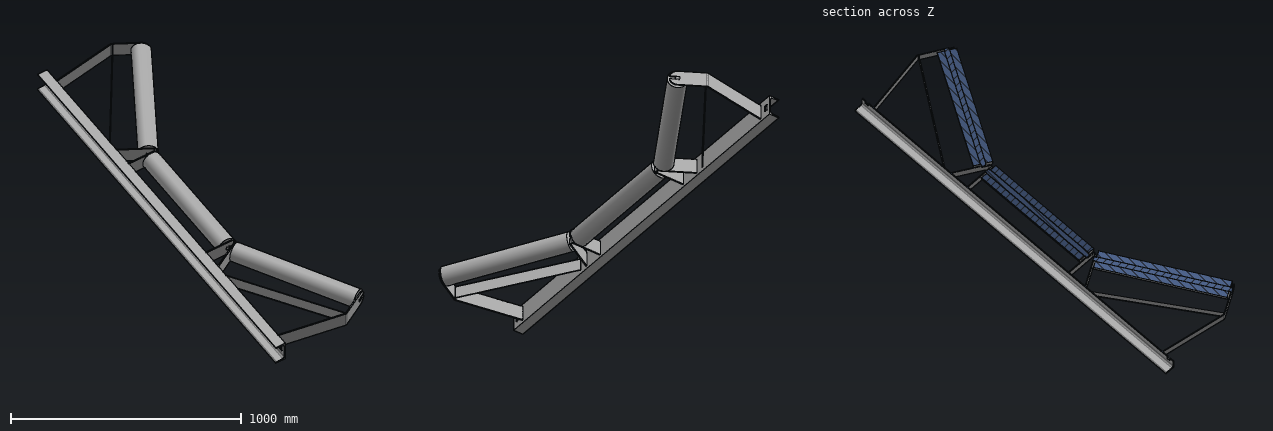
import cadquery as cq
import math


beam_length = 1900
beam_height = 100.0
beam_depth = 50.0
web_thickness = 6.0
flange_thickness = 8.5
flange_taper = 0.08
root_radius = 8.5
toe_radius = 4.5
slot_width = 17.0
slot_height = 28.0
slot_end_distance = 28.0

roller_length = 600.0
roller_diameter = 90.0
trough_angle = 30
middle_roller_y = 167.0
side_roller_x = 605.0
side_roller_y = 329.0
shaft_diameter = 20.0
shaft_flat_width = 15.0
bracket_gap = 5.0

plate_thickness = 6.0
plate_width = 72.0
strut_thickness = 4.0
strut_width = 60.0
inner_bracket_top_y = 200.0
arm_elbow_y = 370.0
arm_bend_radius = 10.0
arm_foot_x = 882.0
strut_foot_x = 446.0
strut_top_y = 376.0

foot_y = beam_depth - web_thickness / 2

shaft_length = roller_length + 2 * (bracket_gap + plate_thickness)
plate_offset = (shaft_length - plate_thickness) / 2

axis_x = math.cos(math.radians(trough_angle))
axis_y = math.sin(math.radians(trough_angle))


def side_point(along, up):
    """Point at a distance along the right-hand roller axis and square to it, from the roller's middle."""
    return (
        side_roller_x + along * axis_x - up * axis_y,
        side_roller_y + along * axis_y + up * axis_x,
    )


def up_to_height(along, y):
    """Distance square to the right-hand roller axis at which the plate plane reaches a height y."""
    return (y - side_point(along, 0)[1]) / axis_x


def strip(points, thickness, width):
    """Flat strip bent along a line of points, with mitred bends, centred on Z = 0."""
    normals = []
    for (x0, y0), (x1, y1) in zip(points, points[1:]):
        length = math.hypot(x1 - x0, y1 - y0)
        normals.append(((y0 - y1) / length, (x1 - x0) / length))
    one_side = []
    other_side = []
    for (x, y), (ax, ay), (bx, by) in zip(points, normals[:1] + normals, normals + normals[-1:]):
        reach = thickness / 2 / (1 + ax * bx + ay * by)
        one_side.append((x + reach * (ax + bx), y + reach * (ay + by)))
        other_side.append((x - reach * (ax + bx), y - reach * (ay + by)))
    outline = one_side + other_side[::-1]
    return cq.Workplane("XY", origin=(0, 0, -width / 2)).polyline(outline).close().extrude(width)


def on_middle(body):
    """Moves a body built along X at the origin to the middle roller's place."""
    return body.translate((0, middle_roller_y, 0))


def on_right(body):
    """Moves a body built along X at the origin to the right-hand roller's place."""
    return body.rotate((0, 0, 0), (0, 0, 1), trough_angle).translate((side_roller_x, side_roller_y, 0))


def on_left(body):
    """Moves a body built along X at the origin to the left-hand roller's place."""
    return on_right(body).mirror("YZ")


places = (on_left, on_middle, on_right)


def make_beam():
    half_height = beam_height / 2
    inner_y = beam_depth - web_thickness
    taper_rise = flange_taper * beam_depth / 2
    toe_z = half_height - flange_thickness + taper_rise
    root_z = toe_z - flange_taper * inner_y
    beam = (
        cq.Workplane("YZ")
        .polyline([
            (0, half_height),
            (beam_depth, half_height),
            (beam_depth, -half_height),
            (0, -half_height),
            (0, -toe_z),
            (inner_y, -root_z),
            (inner_y, root_z),
            (0, toe_z),
        ])
        .close()
        .extrude(beam_length)
        .translate((-beam_length / 2, 0, 0))
    )
    for side in (-1, 1):
        root = cq.selectors.NearestToPointSelector((0, inner_y, side * root_z))
        beam = beam.edges("|X").edges(root).fillet(root_radius)
        toe = cq.selectors.NearestToPointSelector((0, 0, side * toe_z))
        beam = beam.edges("|X").edges(toe).fillet(toe_radius)
    slot_x = beam_length / 2 - slot_end_distance
    slots = (
        cq.Workplane("XZ", origin=(0, beam_depth, 0))
        .pushPoints([(-slot_x, 0), (slot_x, 0)])
        .rect(slot_width, slot_height)
        .extrude(web_thickness)
    )
    return beam.cut(slots)


def make_inner_bracket():
    """Right-hand folded strip: upright leg, short top and a leg square to the side roller."""
    top_y = inner_bracket_top_y - plate_thickness / 2
    along = -plate_offset
    return strip(
        [
            (plate_offset, foot_y),
            (plate_offset, top_y),
            side_point(along, up_to_height(along, top_y)),
            side_point(along, up_to_height(along, foot_y)),
        ],
        plate_thickness,
        plate_width,
    )


def rounded_bend(arm, elbow):
    """Rounds both faces of the arm's bend about one centre."""
    elbow_x, elbow_y = elbow
    for side, radius in ((-1, arm_bend_radius), (1, arm_bend_radius + plate_thickness)):
        bend_edge = cq.selectors.NearestToPointSelector((elbow_x + side * plate_thickness, elbow_y, 0))
        arm = arm.edges("|Z").edges(bend_edge).fillet(radius)
    return arm


def make_outer_arm():
    """Right-hand bent strip whose upper end is rounded about the side roller axis."""
    elbow = side_point(plate_offset, up_to_height(plate_offset, arm_elbow_y))
    arm = strip(
        [(arm_foot_x, foot_y), elbow, side_point(plate_offset, 0)],
        plate_thickness,
        plate_width,
    )
    arm = rounded_bend(arm, elbow)
    rounded_end = cq.Workplane("YZ").circle(plate_width / 2).extrude(plate_thickness)
    arm = arm.union(on_right(rounded_end.translate((plate_offset - plate_thickness / 2, 0, 0))))
    strut_top = side_point(plate_offset, up_to_height(plate_offset, strut_top_y))
    strut = strip([(strut_foot_x, foot_y), strut_top], strut_thickness, strut_width)
    return arm.union(strut)


def make_shaft_slot():
    """Cutter for the bracket slots of one roller: the shaft's section, left open upwards."""
    open_height = plate_width
    channel = (
        cq.Workplane("XY")
        .box(shaft_length, open_height, shaft_flat_width)
        .translate((0, open_height / 2, 0))
    )
    return channel.union(make_shaft())


def make_frame():
    half = make_inner_bracket().union(make_outer_arm())
    frame = make_beam().union(half).union(half.mirror("YZ"))
    for place in places:
        frame = frame.cut(place(make_shaft_slot()))
    return frame


def make_shaft():
    """Round shaft with two flats at each end, where it sits in the bracket slots."""
    half_length = shaft_length / 2
    shaft = cq.Workplane("YZ", origin=(-half_length, 0, 0)).circle(shaft_diameter / 2).extrude(shaft_length)
    flat_depth = (shaft_diameter - shaft_flat_width) / 2
    for end in (-1, 1):
        for side in (-1, 1):
            flat = cq.Workplane("XY").box(2 * plate_thickness, shaft_diameter, flat_depth)
            shaft = shaft.cut(
                flat.translate((end * half_length, 0, side * (shaft_flat_width + flat_depth) / 2))
            )
    return shaft


def make_roller():
    return (
        cq.Workplane("YZ", origin=(-roller_length / 2, 0, 0))
        .circle(roller_diameter / 2)
        .circle(shaft_diameter / 2)
        .extrude(roller_length)
    )


frame = make_frame()
rollers = [place(make_roller()) for place in places]
shafts = [place(make_shaft()) for place in places]

result = cq.Compound.makeCompound(
    [frame.val()] + [roller.val() for roller in rollers] + [shaft.val() for shaft in shafts]
)